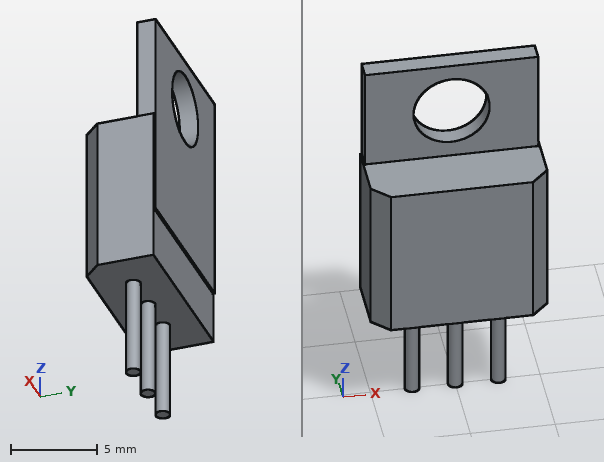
import cadquery as cq

housing_width = 10.41
housing_height = 9.58
corner_chamfer = 1.02

overall_depth = 4.57
tab_proud = 0.1
tab_side_margin = 0.1
tab_thickness = 1.14
tab_height = 12.8
tab_exposed_height = 6.42
tab_hole_diameter = 4.48

lead_count = 3
lead_pitch = 2.54
lead_diameter = 0.86
lead_length = 6.0

housing_depth = overall_depth - tab_proud
tab_width = housing_width - 2 * tab_side_margin
tab_front = overall_depth - tab_thickness
tab_top = housing_height + tab_exposed_height
tab_bottom = tab_top - tab_height
tab_hole_height = housing_height + tab_exposed_height / 2
lead_depth_position = overall_depth / 2


def make_tab_blank():
    """Plain tab plate; it also gives the shape of the recess in the housing."""
    return (
        cq.Workplane("XY")
        .box(tab_width, tab_thickness, tab_height, centered=(True, False, False))
        .translate((0, tab_front, tab_bottom))
    )


def make_housing():
    """Block with chamfered front upright edges and a recess for the tab."""
    block = (
        cq.Workplane("XY")
        .box(housing_width, housing_depth, housing_height, centered=(True, False, False))
        .faces("<Y")
        .edges("|Z")
        .chamfer(corner_chamfer)
    )
    return block.cut(make_tab_blank()).solids()


def make_tab():
    """Tab plate with its mounting hole centred in the exposed part."""
    hole = (
        cq.Workplane("XZ", origin=(0, overall_depth, tab_hole_height))
        .circle(tab_hole_diameter / 2)
        .extrude(tab_thickness)
    )
    return make_tab_blank().cut(hole).solids()


def make_lead(x_position):
    """Round lead hanging from the bottom face of the housing."""
    return (
        cq.Workplane("XY", origin=(x_position, lead_depth_position, 0))
        .circle(lead_diameter / 2)
        .extrude(-lead_length)
    )


housing = make_housing()
tab = make_tab()
leads = []
for index in range(lead_count):
    lead_x = (index - (lead_count - 1) / 2) * lead_pitch
    leads.append(make_lead(lead_x).val())

result = cq.Compound.makeCompound([housing.val(), tab.val(), *leads])